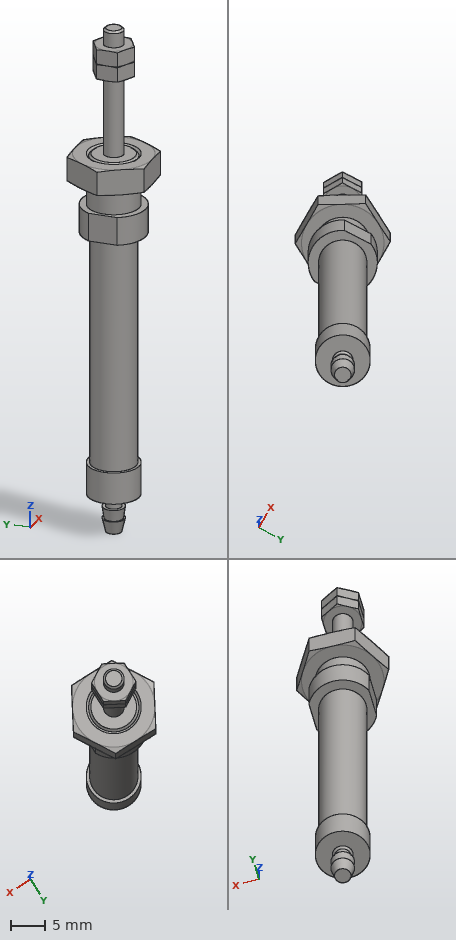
import cadquery as cq
import math

TOTAL_HEIGHT = 80.0
END_CAP_BOTTOM = 6.0
END_CAP_TOP = 11.0
COLLAR_BOTTOM = 47.6
COLLAR_TOP = 52.0
NECK_TOP = 60.0

BARREL_DIAMETER = 7.0
END_CAP_DIAMETER = 8.0
NECK_DIAMETER = 8.0
COLLAR_DIAMETER = 10.1
COLLAR_ACROSS_FLATS = 9.0

NIPPLE_DIAMETER = 2.4
NIPPLE_FLARE = 0.3
BARB_DIAMETER = 3.4
BARB_NECK_DIAMETER = 2.9
UPPER_BARB_Z = 4.0
LOWER_BARB_Z = 2.2

THREAD_MINOR_DIAMETER = 6.6
THREAD_MEAN_DIAMETER = (NECK_DIAMETER + THREAD_MINOR_DIAMETER) / 2
THREAD_CHAMFER = (THREAD_MEAN_DIAMETER - THREAD_MINOR_DIAMETER) / 2
COUNTERSINK_DEPTH = (NECK_DIAMETER - THREAD_MEAN_DIAMETER) / 2

ROD_DIAMETER = 3.0
ROD_CHAMFER = 0.3
ROD_DEPTH_IN_NECK = 4.0
ROD_BOTTOM = NECK_TOP - ROD_DEPTH_IN_NECK

MOUNTING_NUT_ACROSS_FLATS = 12.0
MOUNTING_NUT_HEIGHT = 4.0
MOUNTING_NUT_BOTTOM = NECK_TOP - MOUNTING_NUT_HEIGHT

ROD_NUT_ACROSS_FLATS = 5.6
ROD_NUT_HEIGHT = 2.4
ROD_NUT_COUNT = 2
ROD_NUTS_BOTTOM = 72.6

NUT_CHAMFER_ANGLE = 10.0


def cylinder(diameter, bottom, top):
    """Upright cylinder on the Z axis between two heights."""
    return cq.Workplane("XY").workplane(offset=bottom).circle(diameter / 2).extrude(top - bottom)


def hex_nut(across_flats, height, bore_diameter, bottom, corner_angle):
    """Hexagonal nut with its corners turned down to the circle inside the flats at both ends."""
    corner_radius = across_flats / math.sqrt(3)
    flat_radius = across_flats / 2
    corner_drop = (corner_radius - flat_radius) * math.tan(math.radians(NUT_CHAMFER_ANGLE))
    prism = (
        cq.Workplane("XY")
        .polygon(6, 2 * corner_radius)
        .extrude(height)
        .rotate((0, 0, 0), (0, 0, 1), corner_angle)
    )
    turned_envelope = (
        cq.Workplane("XZ")
        .moveTo(0, 0)
        .lineTo(flat_radius, 0)
        .lineTo(corner_radius, corner_drop)
        .lineTo(corner_radius, height - corner_drop)
        .lineTo(flat_radius, height)
        .lineTo(0, height)
        .close()
        .revolve(360, (0, 0, 0), (0, 1, 0))
    )
    nut = prism.intersect(turned_envelope).cut(cylinder(bore_diameter, 0, height))
    return nut.translate((0, 0, bottom))


def make_collar():
    """Round collar with two flats facing -X and +X."""
    collar_height = COLLAR_TOP - COLLAR_BOTTOM
    flats = (
        cq.Workplane("XY")
        .workplane(offset=COLLAR_BOTTOM)
        .rect(COLLAR_ACROSS_FLATS, COLLAR_DIAMETER)
        .extrude(collar_height)
    )
    return cylinder(COLLAR_DIAMETER, COLLAR_BOTTOM, COLLAR_TOP).intersect(flats)


def make_nipple():
    """Hose nipple with two conical barbs and a small flare under the end cap."""
    nipple_radius = NIPPLE_DIAMETER / 2
    barb_radius = BARB_DIAMETER / 2
    return (
        cq.Workplane("XZ")
        .moveTo(0, 0)
        .lineTo(nipple_radius, 0)
        .lineTo(barb_radius, LOWER_BARB_Z)
        .lineTo(BARB_NECK_DIAMETER / 2, LOWER_BARB_Z)
        .lineTo(barb_radius, UPPER_BARB_Z)
        .lineTo(nipple_radius, UPPER_BARB_Z)
        .lineTo(nipple_radius, END_CAP_BOTTOM - NIPPLE_FLARE)
        .lineTo(nipple_radius + NIPPLE_FLARE, END_CAP_BOTTOM)
        .lineTo(0, END_CAP_BOTTOM)
        .close()
        .revolve(360, (0, 0, 0), (0, 1, 0))
    )


def make_housing():
    """Cylinder housing: nipple, end cap, barrel, collar and neck, with a hole for the rod."""
    end_cap = cylinder(END_CAP_DIAMETER, END_CAP_BOTTOM, END_CAP_TOP)
    barrel = cylinder(BARREL_DIAMETER, END_CAP_TOP, COLLAR_BOTTOM)
    neck = cylinder(NECK_DIAMETER, COLLAR_TOP, MOUNTING_NUT_BOTTOM)
    thread = cylinder(THREAD_MEAN_DIAMETER, MOUNTING_NUT_BOTTOM, NECK_TOP).faces(">Z").chamfer(THREAD_CHAMFER)
    body = make_nipple().union(end_cap).union(barrel).union(make_collar()).union(neck).union(thread)
    return body.cut(cylinder(ROD_DIAMETER, ROD_BOTTOM, NECK_TOP))


def make_rod():
    """Piston rod seated in the neck, chamfered at the tip."""
    return cylinder(ROD_DIAMETER, ROD_BOTTOM, TOTAL_HEIGHT).faces(">Z").chamfer(ROD_CHAMFER)


def make_mounting_nut():
    """Large nut around the thread, countersunk at the top, with corners on the X axis."""
    nut = hex_nut(
        MOUNTING_NUT_ACROSS_FLATS, MOUNTING_NUT_HEIGHT, THREAD_MEAN_DIAMETER, MOUNTING_NUT_BOTTOM, 0
    )
    return nut.faces(">Z").edges(cq.selectors.RadiusNthSelector(0)).chamfer(COUNTERSINK_DEPTH)


def make_rod_nut(index):
    """Small nut on the rod, with corners on the Y axis."""
    bottom = ROD_NUTS_BOTTOM + index * ROD_NUT_HEIGHT
    return hex_nut(ROD_NUT_ACROSS_FLATS, ROD_NUT_HEIGHT, ROD_DIAMETER, bottom, 90)


housing = make_housing()
rod = make_rod()
mounting_nut = make_mounting_nut()
rod_nuts = [make_rod_nut(index) for index in range(ROD_NUT_COUNT)]

result = cq.Compound.makeCompound(
    [housing.val(), rod.val(), mounting_nut.val(), *[nut.val() for nut in rod_nuts]]
)